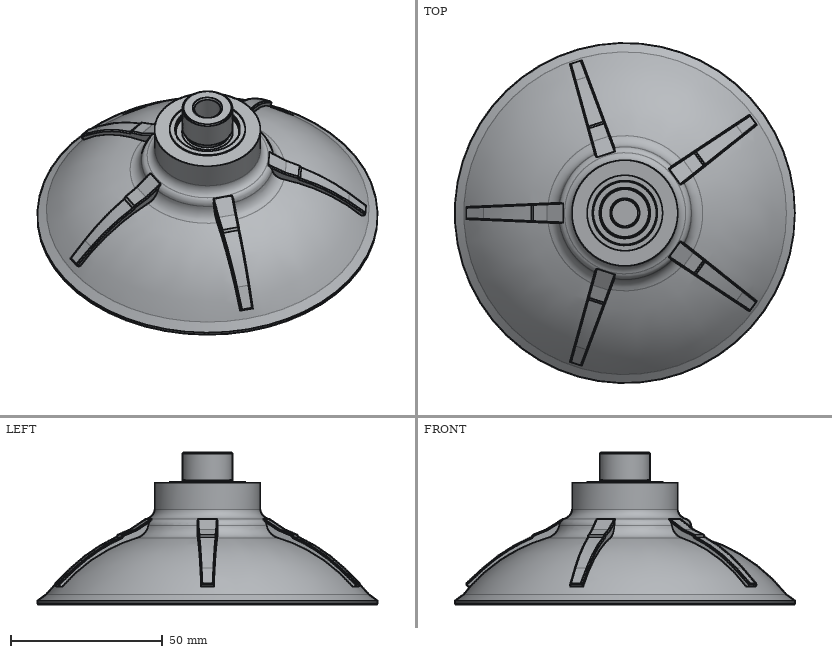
import cadquery as cq
lip_radius = 56.2
lip_base_radius = 55.9
lip_bevel_height = 0.5
lip_top_z = 1.4
bell_foot_radius = 53.3
bell_foot_z = 3.5
bell_mid_radius = 41.0
bell_mid_z = 15.0
bell_top_radius = 25.6
bell_top_z = 22.2
collar_radius = 21.9
collar_z = 26.3
collar_top_radius = 20.0
collar_top_z = 28.5
neck_radius = 35.0 / 2
neck_fillet_z = 31.5
neck_top_z = 40.4

rib_count = 5
rib_first_angle = 36.0
rib_inner_radius = 20.4
rib_inner_z = 28.5
rib_bend_radius = 25.9
rib_bend_z = 25.0
rib_step_radius = 30.3
rib_step_top_z = 23.2
rib_step_foot_radius = 30.9
rib_step_foot_z = 22.4
rib_crown_radius = 39.6
rib_crown_z = 17.8
rib_tail_radius = 46.8
rib_tail_z = 12.3
rib_end_radius = 52.6
rib_end_z = 6.9
rib_end_foot_radius = 51.8
rib_end_foot_z = 6.0
rib_inner_width = 7.0
rib_outer_width = 4.2
rib_edge_bevel = 0.5
rib_tip_bevel = 0.3

sleeve_radius = 25.0 / 2
sleeve_top_z = 40.7
sleeve_bottom_z = neck_fillet_z
recess_radius = 21.5 / 2
recess_foot_bevel = 0.3
recess_floor_z = 39.3

stud_radius = 16.6 / 2
stud_chamfer = 0.5
stud_top_z = 50.4
stud_shoulder_z = 41.2
stud_neck_radius = 14.8 / 2
stud_bore_radius = 8.7 / 2
stud_bore_mouth_bevel = 0.6
stud_flange_radius = 8.4
stud_flange_bottom_z = 36.0


def make_bell():
    """Solid of revolution: lip, domed bell, rounded collar and cylindrical neck."""
    outline = (
        cq.Workplane("XZ")
        .moveTo(0, 0)
        .lineTo(lip_base_radius, 0)
        .lineTo(lip_radius, lip_bevel_height)
        .lineTo(lip_radius, lip_top_z)
        .lineTo(bell_foot_radius, bell_foot_z)
        .threePointArc((bell_mid_radius, bell_mid_z), (bell_top_radius, bell_top_z))
        .tangentArcPoint((collar_radius, collar_z), relative=False)
        .tangentArcPoint((collar_top_radius, collar_top_z), relative=False)
        .tangentArcPoint((neck_radius, neck_fillet_z), relative=False)
        .lineTo(neck_radius, neck_top_z)
        .lineTo(0, neck_top_z)
        .close()
    )
    return outline.revolve(360, (0, 0, 0), (0, 1, 0))


def make_rib():
    """Stepped rib along +X that narrows outward, with beveled top edges along both flanks."""
    side = (
        cq.Workplane("XZ")
        .moveTo(rib_inner_radius, rib_inner_z)
        .lineTo(rib_bend_radius, rib_bend_z)
        .lineTo(rib_step_radius, rib_step_top_z)
        .lineTo(rib_step_foot_radius, rib_step_foot_z)
        .threePointArc((rib_crown_radius, rib_crown_z), (rib_tail_radius, rib_tail_z))
        .lineTo(rib_end_radius, rib_end_z)
        .lineTo(rib_end_foot_radius, rib_end_foot_z)
        .lineTo(rib_inner_radius, rib_end_foot_z)
        .close()
        .extrude(rib_inner_width / 2, both=True)
        .edges(">X")
        .chamfer(rib_tip_bevel)
    )
    plan = (
        cq.Workplane("XY")
        .moveTo(rib_inner_radius, -rib_inner_width / 2)
        .lineTo(rib_end_radius, -rib_outer_width / 2)
        .lineTo(rib_end_radius, rib_outer_width / 2)
        .lineTo(rib_inner_radius, rib_inner_width / 2)
        .close()
        .extrude(neck_top_z)
    )
    rib = side.intersect(plan)
    top_zone = cq.selectors.BoxSelector(
        (rib_inner_radius + rib_edge_bevel, -rib_inner_width, rib_end_z + rib_edge_bevel),
        (rib_end_radius, rib_inner_width, neck_top_z),
    )
    return rib.faces("<Y or >Y").edges(top_zone).chamfer(rib_edge_bevel)


def make_cup():
    """Bell with its ribs, and a socket in the neck for the sleeve."""
    cup = make_bell()
    rib = make_rib()
    for index in range(rib_count):
        angle = rib_first_angle + index * 360 / rib_count
        cup = cup.union(rib.rotate((0, 0, 0), (0, 0, 1), angle))
    socket = cq.Workplane("XY").workplane(offset=sleeve_bottom_z).circle(sleeve_radius)
    return cup.cut(socket.extrude(neck_top_z - sleeve_bottom_z))


def make_sleeve():
    """Ring filling the neck socket, with a recess on top and a pocket for the stud flange."""
    outline = (
        cq.Workplane("XZ")
        .moveTo(0, sleeve_bottom_z)
        .lineTo(sleeve_radius, sleeve_bottom_z)
        .lineTo(sleeve_radius, sleeve_top_z)
        .lineTo(recess_radius, sleeve_top_z)
        .lineTo(recess_radius, recess_floor_z + recess_foot_bevel)
        .lineTo(recess_radius - recess_foot_bevel, recess_floor_z)
        .lineTo(stud_flange_radius, recess_floor_z)
        .lineTo(stud_flange_radius, stud_flange_bottom_z)
        .lineTo(0, stud_flange_bottom_z)
        .close()
    )
    return outline.revolve(360, (0, 0, 0), (0, 1, 0))


def make_stud():
    """Flange flush with the recess floor, a narrower neck and a bored cylindrical head."""
    bore_floor_z = recess_floor_z
    outline = (
        cq.Workplane("XZ")
        .moveTo(0, stud_flange_bottom_z)
        .lineTo(stud_flange_radius, stud_flange_bottom_z)
        .lineTo(stud_flange_radius, recess_floor_z)
        .lineTo(stud_neck_radius, recess_floor_z)
        .lineTo(stud_neck_radius, stud_shoulder_z)
        .lineTo(stud_radius, stud_shoulder_z)
        .lineTo(stud_radius, stud_top_z - stud_chamfer)
        .lineTo(stud_radius - stud_chamfer, stud_top_z)
        .lineTo(stud_bore_radius + stud_bore_mouth_bevel, stud_top_z)
        .lineTo(stud_bore_radius, stud_top_z - stud_bore_mouth_bevel)
        .lineTo(stud_bore_radius, bore_floor_z)
        .lineTo(0, bore_floor_z)
        .close()
    )
    return outline.revolve(360, (0, 0, 0), (0, 1, 0))


cup = make_cup()
sleeve = make_sleeve()
stud = make_stud()

result = cq.Compound.makeCompound([cup.val(), sleeve.val(), stud.val()])